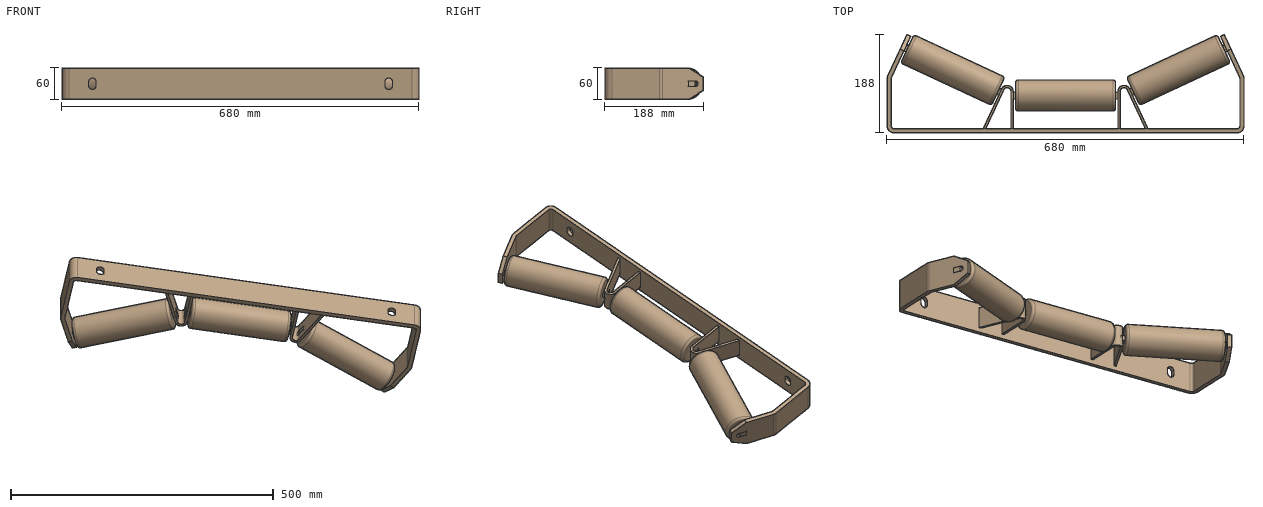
import cadquery as cq
import math

FRAME_LENGTH = 680.0
FRAME_DEPTH = 188.0
FRAME_HEIGHT = 60.0
TROUGH_ANGLE = 25.0

STRIP = 8.0
BEND_RADIUS = 13.5
WING_BEND_Y = 107.0
WING_TIP_WIDTH = 26.0
WING_TAPER_LENGTH = 30.5

MOUNT_SLOT_X = 282.0
MOUNT_SLOT_WIDTH = 14.0
MOUNT_SLOT_LENGTH = 22.0

ROLLER_LENGTH = 191.0
ROLLER_EDGE_RADIUS = 5.5
ROLLER_GAP = 4.0
MIDDLE_AXIS_Y = 71.5
SIDE_AXIS_RISE = 77.0

SHAFT_DEPTH = 13.5
SHAFT_WIDTH = 10.0
SHAFT_SLOT_LENGTH = 20.5

BRACKET_HEIGHT = 41.5
BRACKET_STRIP = 5.0
BRACKET_RADIUS = 11.5

ROLLER_DIAMETER = FRAME_HEIGHT
MID_Z = FRAME_HEIGHT / 2
COS = math.cos(math.radians(TROUGH_ANGLE))
SIN = math.sin(math.radians(TROUGH_ANGLE))
TAN = SIN / COS
SUPPORT_SPAN = ROLLER_LENGTH + 2 * ROLLER_GAP

HALF_LENGTH = FRAME_LENGTH / 2
INNER_X = HALF_LENGTH - STRIP
INNER_BEND_Y = WING_BEND_Y - STRIP * math.tan(math.radians(TROUGH_ANGLE / 2))
WING_LENGTH = (FRAME_DEPTH - WING_BEND_Y) / COS
WING_TIP_X = HALF_LENGTH - WING_LENGTH * SIN

BRACKET_INNER_X = SUPPORT_SPAN / 2
WING_OUTER_OFFSET = HALF_LENGTH * COS + WING_BEND_Y * SIN
SLANT_OFFSET = WING_OUTER_OFFSET - STRIP - SUPPORT_SPAN
BRACKET_OUTER_X = (SLANT_OFFSET - STRIP * SIN) / COS

SIDE_SHAFT_START = (BRACKET_OUTER_X - SIDE_AXIS_RISE * SIN, STRIP + SIDE_AXIS_RISE * COS)

MIDDLE_AXIS = ((-BRACKET_INNER_X, MIDDLE_AXIS_Y), 0.0)
SIDE_AXIS = (SIDE_SHAFT_START, TROUGH_ANGLE)


def mirrored(body):
    return body.mirror("YZ")


def axis_plane(start, tilt, along=0.0):
    """Plane across a roller axis: local X points up the support, local Z runs along the axis."""
    angle = math.radians(tilt)
    direction = cq.Vector(math.cos(angle), math.sin(angle), 0)
    up = cq.Vector(-math.sin(angle), math.cos(angle), 0)
    origin = cq.Vector(start[0], start[1], MID_Z) + direction * along
    return cq.Plane(origin=origin, xDir=up, normal=direction)


def shaft_bar(axis, start, length):
    """Rectangular shaft along an axis, from `start` over `length`."""
    return cq.Workplane(axis_plane(*axis, start)).rect(SHAFT_DEPTH, SHAFT_WIDTH).extrude(length)


def shaft_slot(axis, start, thickness):
    """Slot through a support: the shaft rests on its flat seat, below a rounded top."""
    seat = -SHAFT_DEPTH / 2
    top = seat + SHAFT_SLOT_LENGTH
    half_width = SHAFT_WIDTH / 2
    return (
        cq.Workplane(axis_plane(*axis, start))
        .moveTo(seat, -half_width)
        .lineTo(top - half_width, -half_width)
        .threePointArc((top, 0), (top - half_width, half_width))
        .lineTo(seat, half_width)
        .close()
        .extrude(thickness)
    )


def frame_profile():
    right_side = [
        (HALF_LENGTH, 0),
        (HALF_LENGTH, WING_BEND_Y),
        (WING_TIP_X, FRAME_DEPTH),
        (WING_TIP_X - STRIP * COS, FRAME_DEPTH - STRIP * SIN),
        (INNER_X, INNER_BEND_Y),
        (INNER_X, STRIP),
    ]
    left_side = [(-x, y) for x, y in reversed(right_side)]
    return cq.Workplane("XY").polyline(right_side + left_side).close().extrude(FRAME_HEIGHT)


def wing_taper_cutters():
    """Two wedges that narrow the +X wing towards its tip, above and below."""
    tip = cq.Plane(
        origin=(WING_TIP_X, FRAME_DEPTH, MID_Z), xDir=(-SIN, COS, 0), normal=(COS, SIN, 0)
    )
    cutters = []
    for side in (-1, 1):
        corner = side * MID_Z
        wedge = (
            cq.Workplane(tip)
            .polyline([(-WING_TAPER_LENGTH, corner), (0, corner), (0, side * WING_TIP_WIDTH / 2)])
            .close()
            .extrude(STRIP, both=True)
        )
        cutters.append(wedge)
    return cutters


def make_frame():
    frame = frame_profile()
    for side in (-1, 1):
        for x, y, radius in (
            (HALF_LENGTH, 0, BEND_RADIUS),
            (INNER_X, STRIP, BEND_RADIUS - STRIP),
            (HALF_LENGTH, WING_BEND_Y, BEND_RADIUS),
            (INNER_X, INNER_BEND_Y, BEND_RADIUS - STRIP),
        ):
            bend_edge = cq.selectors.NearestToPointSelector((side * x, y, MID_Z))
            frame = frame.edges(bend_edge).fillet(radius)

    wing_slot = shaft_slot(SIDE_AXIS, SUPPORT_SPAN, STRIP)
    for cutter in [*wing_taper_cutters(), wing_slot]:
        frame = frame.cut(cutter).cut(mirrored(cutter))

    mount_slots = (
        cq.Workplane("XZ", origin=(0, 0, MID_Z))
        .pushPoints([(-MOUNT_SLOT_X, 0), (MOUNT_SLOT_X, 0)])
        .slot2D(MOUNT_SLOT_LENGTH, MOUNT_SLOT_WIDTH, 90)
        .extrude(-STRIP)
    )
    return frame.cut(mount_slots)


def bracket_wedge(inset):
    """Solid wedge between the bracket legs, with its faces moved inwards by `inset`."""
    left_x = BRACKET_INNER_X + inset
    right_x = BRACKET_OUTER_X - inset / COS
    apex_y = STRIP + (right_x - left_x) / TAN
    return (
        cq.Workplane("XY", origin=(0, 0, MID_Z))
        .polyline([(left_x, STRIP), (right_x, STRIP), (left_x, apex_y)])
        .close()
        .extrude(BRACKET_HEIGHT / 2, both=True)
        .edges("|Z and >Y")
        .fillet(BRACKET_RADIUS - inset)
    )


def make_bracket():
    bracket = bracket_wedge(0).cut(bracket_wedge(BRACKET_STRIP))
    upright_slot = shaft_slot(MIDDLE_AXIS, SUPPORT_SPAN, BRACKET_STRIP)
    slanted_slot = shaft_slot(SIDE_AXIS, -BRACKET_STRIP, BRACKET_STRIP)
    return bracket.cut(upright_slot).cut(slanted_slot)


def make_roller(axis, start_support, end_support):
    """Roller whose shaft ends fill the thickness of the supports at both ends."""
    drum = (
        cq.Workplane(axis_plane(*axis, ROLLER_GAP))
        .circle(ROLLER_DIAMETER / 2)
        .extrude(ROLLER_LENGTH)
        .edges()
        .fillet(ROLLER_EDGE_RADIUS)
    )
    shaft = shaft_bar(axis, -start_support, start_support + SUPPORT_SPAN + end_support)
    return drum.union(shaft)


frame = make_frame()
bracket = make_bracket()
middle_roller = make_roller(MIDDLE_AXIS, BRACKET_STRIP, BRACKET_STRIP)
side_roller = make_roller(SIDE_AXIS, BRACKET_STRIP, STRIP)

bodies = [frame.solids().val(), middle_roller.solids().val()]
for right_body in (bracket, side_roller):
    for copy in (right_body, mirrored(right_body)):
        bodies.append(copy.solids().val())

result = cq.Compound.makeCompound(bodies)